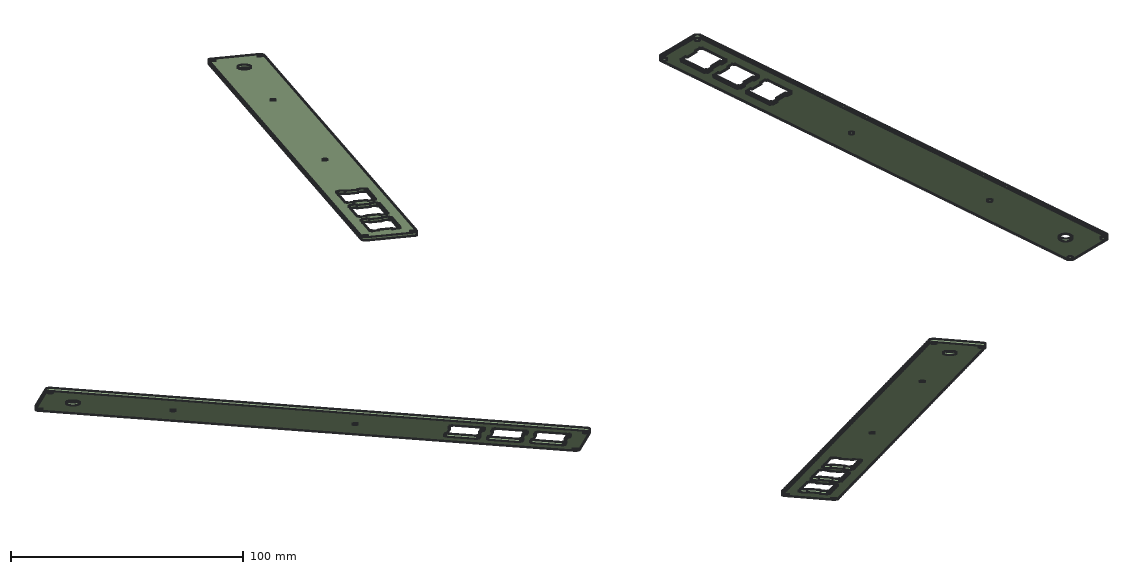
import cadquery as cq

length = 239.5
width = 25.0
thickness = 1.5
corner_radius = 2.0

screw_diameter = 2.2
corner_hole_inset = 2.0
center_screw_xs = (-61.5, 18.7)
large_hole_diameter = 6.0
large_hole_x = -105.7

switch_count = 3
switch_pitch = 19.0
last_switch_x = 104.7
switch_size = 14.0
notched_width = 15.5
notch_height = 3.0
notch_center_y = 4.5


def make_plate():
    plate = cq.Workplane("XY").box(length, width, thickness)
    return plate.edges("|Z").fillet(corner_radius)


def hole_cutter(diameter, points):
    hole = cq.Workplane("XY").pushPoints(points).circle(diameter / 2)
    return hole.extrude(thickness, both=True)


def switch_cutter(x):
    square = cq.Workplane("XY").center(x, 0).rect(switch_size, switch_size)
    cutter = square.extrude(thickness, both=True)
    for y in (-notch_center_y, notch_center_y):
        notch = cq.Workplane("XY").center(x, y).rect(notched_width, notch_height)
        cutter = cutter.union(notch.extrude(thickness, both=True))
    return cutter


corner_x = length / 2 - corner_hole_inset
corner_y = width / 2 - corner_hole_inset
screw_points = [(x, y) for x in (-corner_x, corner_x) for y in (-corner_y, corner_y)]
screw_points += [(x, 0) for x in center_screw_xs]

result = make_plate()
result = result.cut(hole_cutter(screw_diameter, screw_points))
result = result.cut(hole_cutter(large_hole_diameter, [(large_hole_x, 0)]))
for index in range(switch_count):
    result = result.cut(switch_cutter(last_switch_x - index * switch_pitch))